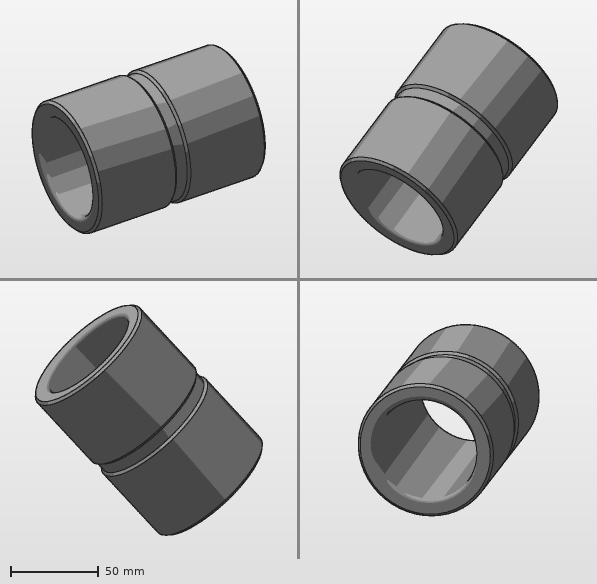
import cadquery as cq

length = 110.0
outer_diameter = 80.0
bore_diameter = 60.0
edge_chamfer = 1.5
bore_edge_radius = 2.5
groove_width = 10.0
groove_depth = 1.5

outer_radius = outer_diameter / 2
bore_radius = bore_diameter / 2


def bushing_body():
    """Plain tube with chamfered outer rims and rounded bore mouths."""
    body = (
        cq.Workplane("XZ")
        .circle(outer_radius)
        .extrude(length / 2, both=True)
        .faces("<Y or >Y")
        .chamfer(edge_chamfer)
    )
    bore = cq.Workplane("XZ").circle(bore_radius).extrude(length / 2, both=True)
    bore_edges = cq.selectors.RadiusNthSelector(0)
    return body.cut(bore).edges(bore_edges).fillet(bore_edge_radius)


def groove_cutter():
    """Ring that cuts the central groove with 45 degree side walls."""
    floor_radius = outer_radius - groove_depth
    half_mouth = groove_width / 2
    half_floor = half_mouth - groove_depth
    ring_radius = outer_radius + groove_depth
    return (
        cq.Workplane("XY")
        .polyline([
            (floor_radius, -half_floor),
            (outer_radius, -half_mouth),
            (ring_radius, -half_mouth),
            (ring_radius, half_mouth),
            (outer_radius, half_mouth),
            (floor_radius, half_floor),
        ])
        .close()
        .revolve(360, (0, 0, 0), (0, 1, 0))
    )


result = bushing_body().cut(groove_cutter())